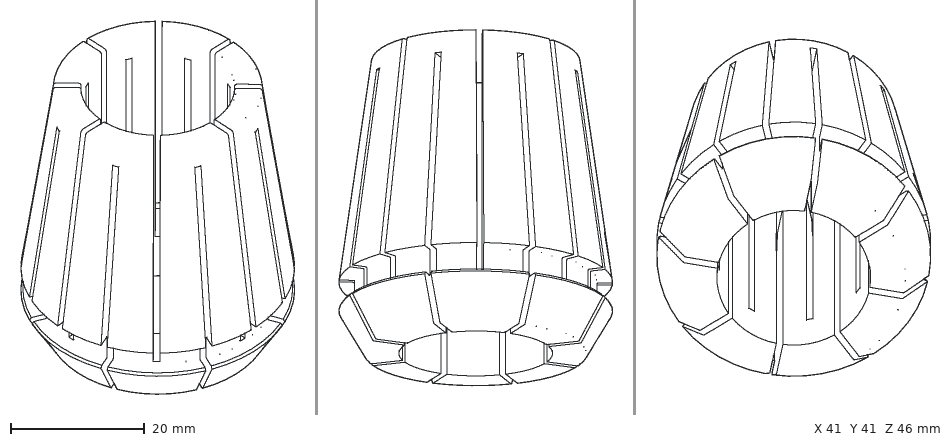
import cadquery as cq
import math

height = 46.0
max_radius = 20.5
bore_radius = 11.5

cone_bottom_z = 11.1
cone_half_angle = 8.0
cone_top_radius = max_radius - (height - cone_bottom_z) * math.tan(math.radians(cone_half_angle))
top_edge_round = 0.5

groove_radius = 18.15
collar_top_z = 7.05
collar_rim_z = 6.65
collar_top_radius = 20.2
collar_half_angle = 30.0
collar_bottom_radius = max_radius - collar_rim_z * math.tan(math.radians(collar_half_angle))

bore_edge_round = 0.4
groove_root_round = 0.2
bottom_edge_round = 0.3

slots_per_set = 8
slot_width = 1.0
slot_pitch_angle = 360.0 / slots_per_set
lower_slot_top_z = 42.5
upper_slot_floor_z = 7.6
slot_overrun = 1.0


def make_body():
    """Revolve the half section of the collet about Z."""
    section = (
        cq.Workplane("XZ")
        .moveTo(bore_radius, 0)
        .lineTo(collar_bottom_radius, 0)
        .lineTo(max_radius, collar_rim_z)
        .lineTo(collar_top_radius, collar_top_z)
        .lineTo(groove_radius + groove_root_round, collar_top_z)
        .radiusArc((groove_radius, collar_top_z + groove_root_round), groove_root_round)
        .lineTo(groove_radius, cone_bottom_z - groove_root_round)
        .radiusArc((groove_radius + groove_root_round, cone_bottom_z), groove_root_round)
        .lineTo(max_radius, cone_bottom_z)
        .lineTo(cone_top_radius, height)
        .lineTo(bore_radius, height)
        .close()
    )
    body = section.revolve(360, (0, 0, 0), (0, 1, 0))
    return round_edges(body)


def round_edges(body):
    """Round the top rim, the bore mouth and the bottom edge."""
    inner_edge = cq.selectors.RadiusNthSelector(0)
    outer_edge = cq.selectors.RadiusNthSelector(-1)
    body = body.faces(">Z").edges(outer_edge).fillet(top_edge_round)
    body = body.faces(">Z").edges(inner_edge).fillet(bore_edge_round)
    body = body.faces("<Z").edges(outer_edge).fillet(bottom_edge_round)
    return body


def cut_slots(body, bottom_z, top_z, start_angle):
    """Cut one set of evenly spaced radial slots from the axis outwards."""
    slot_length = max_radius + slot_overrun
    for index in range(slots_per_set):
        slot = (
            cq.Workplane("XY", origin=(0, 0, bottom_z))
            .rect(slot_length, slot_width)
            .extrude(top_z - bottom_z)
            .translate((slot_length / 2, 0, 0))
            .rotate((0, 0, 0), (0, 0, 1), start_angle + index * slot_pitch_angle)
        )
        body = body.cut(slot)
    return body


result = make_body()
result = cut_slots(result, -slot_overrun, lower_slot_top_z, 0)
result = cut_slots(result, upper_slot_floor_z, height + slot_overrun, slot_pitch_angle / 2)